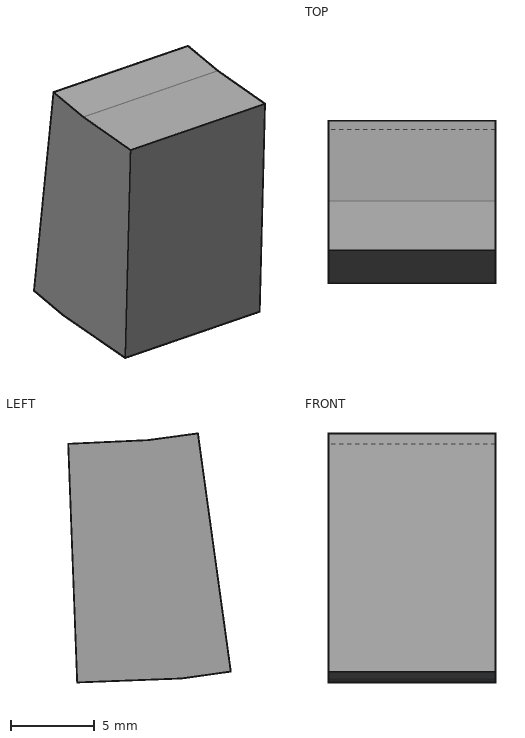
import cadquery as cq

width = 10.0
depth = 9.74
height = 14.91

front_bottom_z = 0.65
front_top_y = 1.97
top_bend = (4.95, 14.5)
back_top_z = 14.28
back_bottom_y = 9.2
bottom_bend = (2.95, 0.24)

result = (
    cq.Workplane("YZ")
    .moveTo(0, front_bottom_z)
    .lineTo(front_top_y, height)
    .lineTo(*top_bend)
    .lineTo(depth, back_top_z)
    .lineTo(back_bottom_y, 0)
    .lineTo(*bottom_bend)
    .close()
    .extrude(width)
)